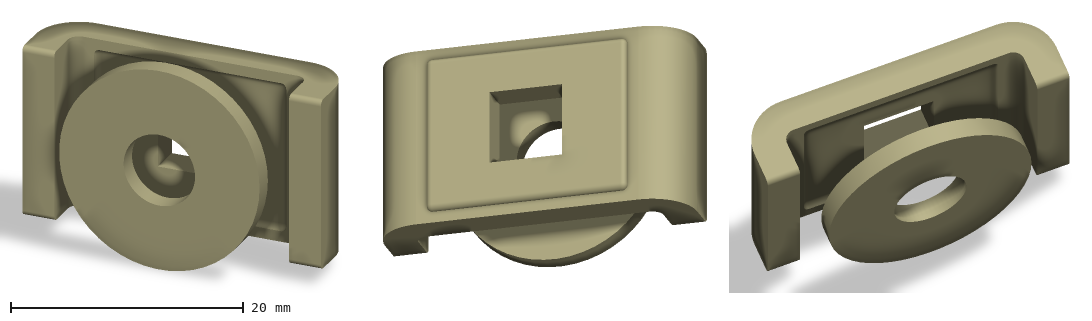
import cadquery as cq

LENGTH = 28.0
HEIGHT = 16.0
THICKNESS = 3.0
BRACKET_DEPTH = 7.0
OUTER_BEND_RADIUS = 4.0
INNER_BEND_RADIUS = OUTER_BEND_RADIUS - THICKNESS
EDGE_RADIUS = 0.5

PANEL_LENGTH = 18.0
PANEL_HEIGHT = 14.0
PANEL_OFFSET = 0.5
PANEL_EMBED = 0.55
WINDOW_SIZE = 6.5

WASHER_DIAMETER = 18.8
WASHER_BORE = 6.7
WASHER_THICKNESS = 1.8
WASHER_GAP = 0.85

PLATE_FRONT_Y = -THICKNESS
LEG_END_Y = -BRACKET_DEPTH
WASHER_BACK_Y = LEG_END_Y - WASHER_GAP


def block(length, height, front_y, depth):
    """Block centred on X and Z that reaches from front_y toward +Y."""
    return cq.Workplane("XY").box(length, depth, height).translate((0, front_y + depth / 2, 0))


def make_channel():
    """Plate with bent ends and rounded edges on the ends of its legs."""
    inner_length = LENGTH - 2 * THICKNESS
    channel = block(LENGTH, HEIGHT, LEG_END_Y, BRACKET_DEPTH)
    channel = channel.edges("|Z and >Y").fillet(OUTER_BEND_RADIUS)
    opening = block(inner_length, HEIGHT, LEG_END_Y, BRACKET_DEPTH - THICKNESS)
    opening = opening.edges("|Z and >Y").fillet(INNER_BEND_RADIUS)
    channel = channel.cut(opening)
    return channel.faces("<Y").edges("|X").fillet(EDGE_RADIUS)


def make_panel(front_y):
    """Panel block with rounded upright corners and a quarter-round rim at its back."""
    panel = block(PANEL_LENGTH, PANEL_HEIGHT, front_y - PANEL_EMBED, PANEL_OFFSET + PANEL_EMBED)
    return panel.edges("|Y or >Y").fillet(EDGE_RADIUS)


def make_bracket():
    """Channel with the pressed panel and a square window through it."""
    recess = make_panel(PLATE_FRONT_Y)
    pad = make_panel(0)
    window = block(WINDOW_SIZE, WINDOW_SIZE, LEG_END_Y, BRACKET_DEPTH + PANEL_OFFSET)
    return make_channel().cut(recess).union(pad).cut(window)


def make_washer():
    """Flat ring whose axis runs along Y."""
    ring = cq.Workplane("XZ", origin=(0, WASHER_BACK_Y, 0))
    ring = ring.circle(WASHER_DIAMETER / 2).circle(WASHER_BORE / 2)
    return ring.extrude(WASHER_THICKNESS)


bracket = make_bracket()
washer = make_washer()

result = cq.Compound.makeCompound([bracket.val(), washer.val()])